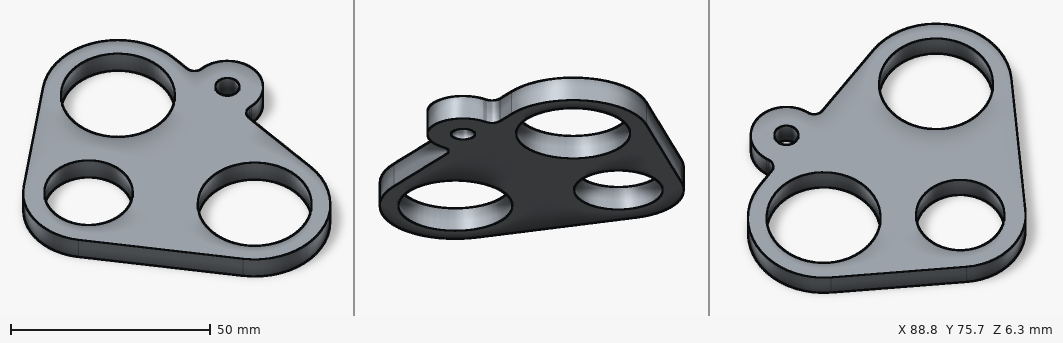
import cadquery as cq
import math

length = 88.85
thickness = 6.3

upper_radius = 19.0
upper_hole_radius = 14.3
lower_radius = 16.4
lower_hole_radius = 11.1

tab_radius = 9.0
tab_hole_radius = 3.0
tab_fillet = 2.5

half_spacing = length / 2 - upper_radius
left_center = (-half_spacing, 0)
right_center = (half_spacing, 0)
lower_center = (-5.7, -28.1)
tab_center = (-9.0, 22.2)


def point_on(center, radius, angle):
    """Point on a circle at an angle in radians."""
    return (center[0] + radius * math.cos(angle), center[1] + radius * math.sin(angle))


def tangent_angle(start, start_radius, end, end_radius):
    """Direction of the normal to the outer tangent of two circles taken counterclockwise."""
    dx = end[0] - start[0]
    dy = end[1] - start[1]
    lean = math.acos((start_radius - end_radius) / math.hypot(dx, dy))
    return math.atan2(dy, dx) - lean


def make_plate():
    """Triangular plate: three corner arcs joined by their common tangents."""
    left_normal = tangent_angle(left_center, upper_radius, lower_center, lower_radius)
    right_normal = tangent_angle(lower_center, lower_radius, right_center, upper_radius)
    left_normal %= 2 * math.pi
    right_normal %= 2 * math.pi
    top_normal = math.pi / 2
    right_mid = (right_normal - 2 * math.pi + top_normal) / 2
    left_mid = (top_normal + left_normal) / 2
    lower_mid = (left_normal + right_normal) / 2
    return (
        cq.Workplane("XY")
        .moveTo(*point_on(right_center, upper_radius, top_normal))
        .lineTo(*point_on(left_center, upper_radius, top_normal))
        .threePointArc(
            point_on(left_center, upper_radius, left_mid),
            point_on(left_center, upper_radius, left_normal),
        )
        .lineTo(*point_on(lower_center, lower_radius, left_normal))
        .threePointArc(
            point_on(lower_center, lower_radius, lower_mid),
            point_on(lower_center, lower_radius, right_normal),
        )
        .lineTo(*point_on(right_center, upper_radius, right_normal))
        .threePointArc(
            point_on(right_center, upper_radius, right_mid),
            point_on(right_center, upper_radius, top_normal),
        )
        .close()
        .extrude(thickness)
    )


def make_tab():
    """Straight-sided tab with a round end, rooted inside the plate."""
    tab_x, tab_y = tab_center
    return (
        cq.Workplane("XY")
        .moveTo(tab_x - tab_radius, 0)
        .lineTo(tab_x + tab_radius, 0)
        .lineTo(tab_x + tab_radius, tab_y)
        .threePointArc((tab_x, tab_y + tab_radius), (tab_x - tab_radius, tab_y))
        .close()
        .extrude(thickness)
    )


def cut_hole(body, center, radius):
    """Round hole through the full thickness."""
    return body.cut(cq.Workplane("XY").center(*center).circle(radius).extrude(thickness))


body = make_plate().union(make_tab())

for side in (-1, 1):
    corner = (tab_center[0] + side * tab_radius, upper_radius, thickness / 2)
    body = body.edges(cq.selectors.NearestToPointSelector(corner)).fillet(tab_fillet)

for center, radius in (
    (left_center, upper_hole_radius),
    (right_center, upper_hole_radius),
    (lower_center, lower_hole_radius),
    (tab_center, tab_hole_radius),
):
    body = cut_hole(body, center, radius)

result = body